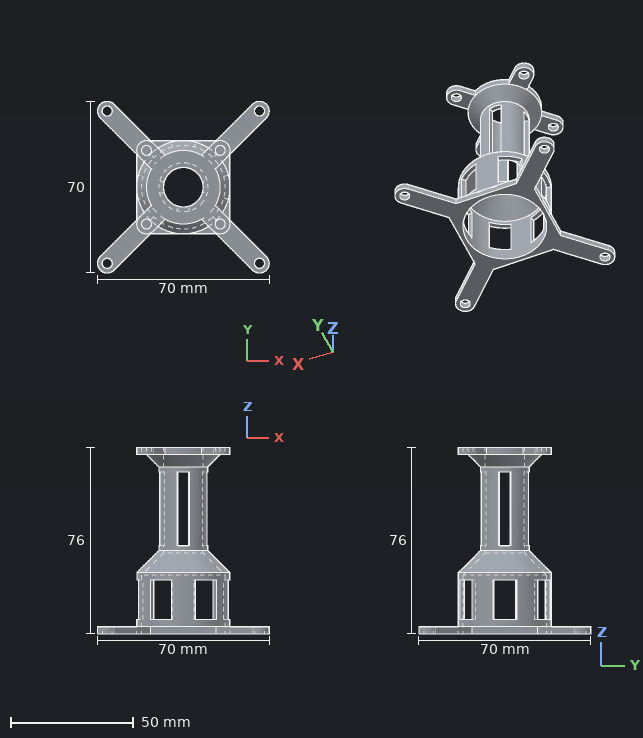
import cadquery as cq
import math

height = 76.0
plate_thickness = 3.0
arm_width = 8.0
screw_hole_diameter = 4.0
wall = 2.0

base_span = 70.0
body_diameter = 38.0
base_arm_reach = (base_span - arm_width) / 2

body_top = 25.0
neck_diameter = 20.0
body_radius = body_diameter / 2
neck_radius = neck_diameter / 2
body_bore_radius = body_radius - wall
neck_bore_radius = neck_radius - wall
bore_cone_drop = 1.0
shoulder_top = body_top + body_radius - neck_radius

flange_diameter = 30.0
flange_radius = flange_diameter / 2
flange_bottom = height - plate_thickness
flare_bottom = flange_bottom - (flange_radius - neck_radius)
lug_reach = (body_diameter - arm_width) / 2

opening_angle = 30.0
window_count = 6
window_bottom = 6.0
window_top = 22.0
slot_count = 4
slot_bottom = 36.0
slot_top = 66.0


def diagonal_cross(reach, bottom):
    """Two crossing round-ended bars whose end centres lie at (+-reach, +-reach)."""
    length = 2 * math.hypot(reach, reach) + arm_width
    plane = cq.Workplane("XY").workplane(offset=bottom)
    rising_bar = plane.slot2D(length, arm_width, 45).extrude(plate_thickness)
    falling_bar = plane.slot2D(length, arm_width, -45).extrude(plate_thickness)
    return rising_bar.union(falling_bar)


def screw_holes(reach, bottom):
    """Cylinders for the four holes at the ends of a diagonal cross."""
    return (
        cq.Workplane("XY")
        .workplane(offset=bottom)
        .rect(2 * reach, 2 * reach, forConstruction=True)
        .vertices()
        .circle(screw_hole_diameter / 2)
        .extrude(plate_thickness)
    )


def revolved(profile):
    """Solid of revolution about Z from (radius, height) points."""
    return cq.Workplane("XZ").polyline(profile).close().revolve(360, (0, 0, 0), (0, 1, 0))


def wall_openings(count, radius, bottom, top):
    """Wedges centred on the axis, evenly spaced from +X, that cut openings through a wall."""
    half_angle = math.radians(opening_angle / 2)
    reach = radius + wall
    x = reach * math.cos(half_angle)
    y = reach * math.sin(half_angle)
    wedge = (
        cq.Workplane("XY")
        .workplane(offset=bottom)
        .moveTo(0, 0)
        .lineTo(x, -y)
        .threePointArc((reach, 0), (x, y))
        .close()
        .extrude(top - bottom)
    )
    return [wedge.rotate((0, 0, 0), (0, 0, 1), i * 360 / count) for i in range(count)]


base_square = cq.Workplane("XY").rect(body_diameter, body_diameter).extrude(plate_thickness)
shell = revolved([
    (0, 0),
    (body_radius, 0),
    (body_radius, body_top),
    (neck_radius, shoulder_top),
    (neck_radius, flare_bottom),
    (flange_radius, flange_bottom),
    (flange_radius, height),
    (0, height),
])
result = (
    shell.union(base_square)
    .union(diagonal_cross(base_arm_reach, 0))
    .union(diagonal_cross(lug_reach, flange_bottom))
)

bore = revolved([
    (0, 0),
    (body_bore_radius, 0),
    (body_bore_radius, body_top - bore_cone_drop),
    (neck_bore_radius, shoulder_top - bore_cone_drop),
    (neck_bore_radius, height),
    (0, height),
])
result = result.cut(bore)

result = result.cut(screw_holes(base_arm_reach, 0))
result = result.cut(screw_holes(lug_reach, flange_bottom))

for window in wall_openings(window_count, body_radius, window_bottom, window_top):
    result = result.cut(window)
for slot in wall_openings(slot_count, neck_radius, slot_bottom, slot_top):
    result = result.cut(slot)